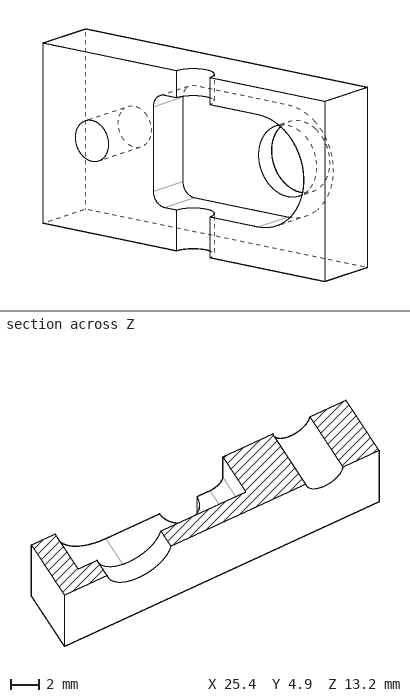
import cadquery as cq

length = 25.45
thickness = 4.9
height = 13.25

pocket_left = 9.98
pocket_radius = 4.12
pocket_corner_radius = 1.02
pocket_depth = 3.39
pocket_center_x = 19.43
pocket_center_z = 7.13
large_hole_diameter = 5.25

small_hole_diameter = 3.0
small_hole_x = 4.43
small_hole_z = 6.8

groove_diameter = 3.0
groove_x = 13.57


def cylinder_along_y(diameter, x, z, depth):
    """Cylinder running from the worked face into the block."""
    return (
        cq.Workplane("XZ")
        .center(x, z)
        .circle(diameter / 2)
        .extrude(-depth)
    )


def make_pocket():
    """Straight-sided pocket with a full round end and two rounded corners."""
    straight_length = pocket_center_x - pocket_left
    straight_part = (
        cq.Workplane("XY")
        .box(straight_length, pocket_depth, 2 * pocket_radius, centered=(False, False, True))
        .translate((pocket_left, 0, pocket_center_z))
        .edges("|Y and <X")
        .fillet(pocket_corner_radius)
    )
    round_end = cylinder_along_y(2 * pocket_radius, pocket_center_x, pocket_center_z, pocket_depth)
    return straight_part.union(round_end)


def make_groove():
    """Vertical cylinder centered on the worked face, as tall as the block."""
    return cq.Workplane("XY").center(groove_x, 0).circle(groove_diameter / 2).extrude(height)


block = cq.Workplane("XY").box(length, thickness, height, centered=False)
large_hole = cylinder_along_y(large_hole_diameter, pocket_center_x, pocket_center_z, thickness)
small_hole = cylinder_along_y(small_hole_diameter, small_hole_x, small_hole_z, thickness)

result = block.cut(make_pocket()).cut(make_groove()).cut(large_hole).cut(small_hole)